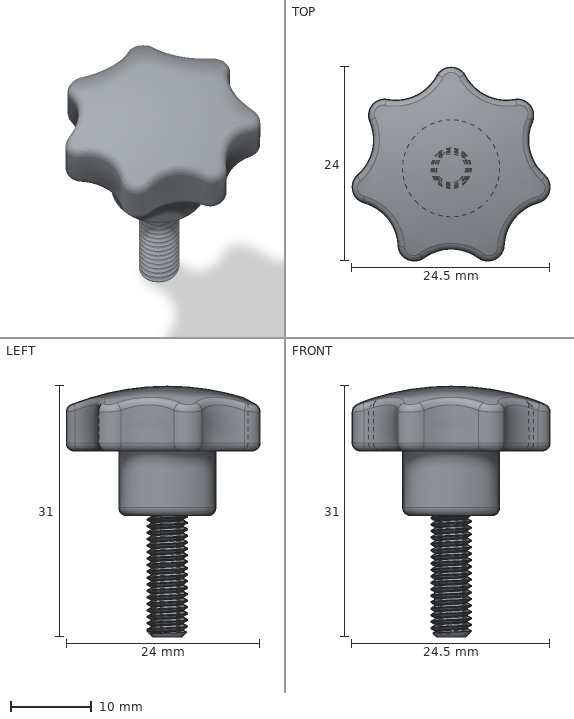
import cadquery as cq
import math

total_height = 31.0
head_height = 8.0
hub_height = head_height
shank_length = total_height - head_height - hub_height

lobe_count = 7
tip_reach = 12.5
lobe_radius = 2.0
valley_reach = 9.98
dome_radius = 32.0

hub_diameter = 12.0
edge_round = 1.0

thread_diameter = 5.0
thread_turns = 18.75
end_chamfer = 0.7
groove_start_angle = 90.0

flank_angle = 30.0
pitch = shank_length / thread_turns
crest_flat = pitch / 8
root_flat = pitch / 6
flank_run = (pitch - crest_flat - root_flat) / 2
flank_slope = math.tan(math.radians(flank_angle))
groove_depth = flank_run / flank_slope
groove_overcut = crest_flat / 4
groove_start_height = pitch * 5 / 8

hub_bottom = shank_length
head_bottom = hub_bottom + hub_height


def polar(radius, angle):
    """Point at a distance from the axis, angle in radians from +X."""
    return (radius * math.cos(angle), radius * math.sin(angle))


def make_head():
    """Star with convex lobes and tangent concave valleys, under a spherical crown."""
    lobe_step = 2 * math.pi / lobe_count
    half_step = lobe_step / 2
    lobe_center = tip_reach - lobe_radius

    wall = valley_reach - lobe_radius
    valley_center = (lobe_center**2 - wall**2) / (2 * (lobe_center * math.cos(half_step) - wall))
    valley_radius = valley_center - valley_reach

    share = lobe_radius / (lobe_radius + valley_radius)
    along = lobe_center + share * (valley_center * math.cos(half_step) - lobe_center)
    aside = share * valley_center * math.sin(half_step)
    tangent_reach = math.hypot(along, aside)
    tangent_angle = math.atan2(aside, along)

    first_lobe = math.pi / 2
    outline = cq.Workplane("XY", origin=(0, 0, head_bottom))
    outline = outline.moveTo(*polar(tangent_reach, first_lobe - tangent_angle))
    for index in range(lobe_count):
        lobe = first_lobe + index * lobe_step
        outline = outline.threePointArc(
            polar(tip_reach, lobe),
            polar(tangent_reach, lobe + tangent_angle),
        )
        outline = outline.threePointArc(
            polar(valley_reach, lobe + half_step),
            polar(tangent_reach, lobe + lobe_step - tangent_angle),
        )
    star = outline.close().extrude(head_height)

    crown = cq.Workplane("XY", origin=(0, 0, total_height - dome_radius)).sphere(dome_radius)
    head = star.intersect(crown)
    return head.faces("<Z or >Z").edges().fillet(edge_round)


def make_hub():
    """Round hub with a rounded lower edge."""
    hub = cq.Workplane("XY", origin=(0, 0, hub_bottom)).circle(hub_diameter / 2).extrude(hub_height)
    return hub.faces("<Z").edges().fillet(edge_round)


def make_shank():
    """Right-hand threaded rod with a chamfered free end."""
    crest_radius = thread_diameter / 2
    root_radius = crest_radius - groove_depth

    mouth_radius = crest_radius + groove_overcut
    mouth_half = root_flat / 2 + (groove_depth + groove_overcut) * flank_slope

    groove_length = shank_length - groove_start_height + pitch
    groove_path = cq.Wire.makeHelix(pitch, groove_length, root_radius)
    groove = (
        cq.Workplane("XZ")
        .moveTo(root_radius, -root_flat / 2)
        .lineTo(mouth_radius, -mouth_half)
        .lineTo(mouth_radius, mouth_half)
        .lineTo(root_radius, root_flat / 2)
        .close()
        .sweep(groove_path, isFrenet=True)
        .translate((0, 0, groove_start_height))
    )
    spare = 3 * pitch
    rod = cq.Workplane("XY", origin=(0, 0, -spare)).circle(crest_radius).extrude(shank_length + 2 * spare)
    thread = rod.cut(groove).rotate((0, 0, 0), (0, 0, 1), groove_start_angle)

    tip_radius = crest_radius - end_chamfer
    cone = cq.Solid.makeCone(tip_radius, tip_radius + shank_length, shank_length)
    return thread.intersect(cq.Workplane(cone))


result = make_head().union(make_hub()).union(make_shank())